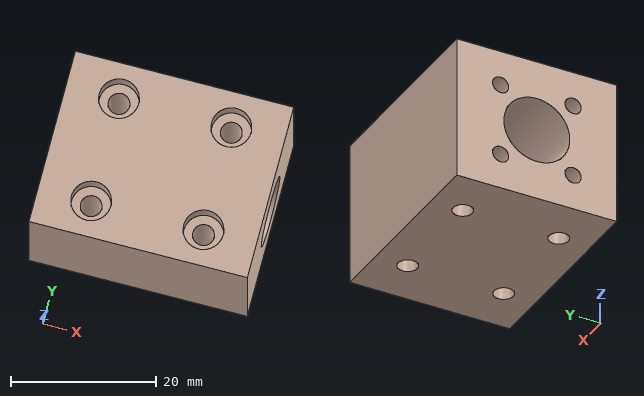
import cadquery as cq

length = 31.1
width = 25.0
height = 22.3

bore_diameter = 10.3
seat_diameter = 10.0
seat_length = 6.22
bore_depth = length - seat_length

end_hole_diameter = 2.5
end_hole_spacing = 11.32
end_hole_depth = 5.0

mount_spacing_x = 16.0
mount_spacing_y = 15.0
mount_diameter = 3.0
counterbore_diameter = 5.6
counterbore_depth = 3.0


def bore_face(body):
    """Workplane centred on the -X face, where the bore opens."""
    return body.faces("<X").workplane(centerOption="CenterOfBoundBox")


block = cq.Workplane("XY").box(length, width, height)

block = bore_face(block).cboreHole(seat_diameter, bore_diameter, bore_depth)

block = (
    bore_face(block)
    .rect(end_hole_spacing, end_hole_spacing, forConstruction=True)
    .vertices()
    .hole(end_hole_diameter, end_hole_depth)
)

block = (
    block.faces(">Z")
    .workplane(centerOption="CenterOfBoundBox")
    .rect(mount_spacing_x, mount_spacing_y, forConstruction=True)
    .vertices()
    .cboreHole(mount_diameter, counterbore_diameter, counterbore_depth)
)

result = block